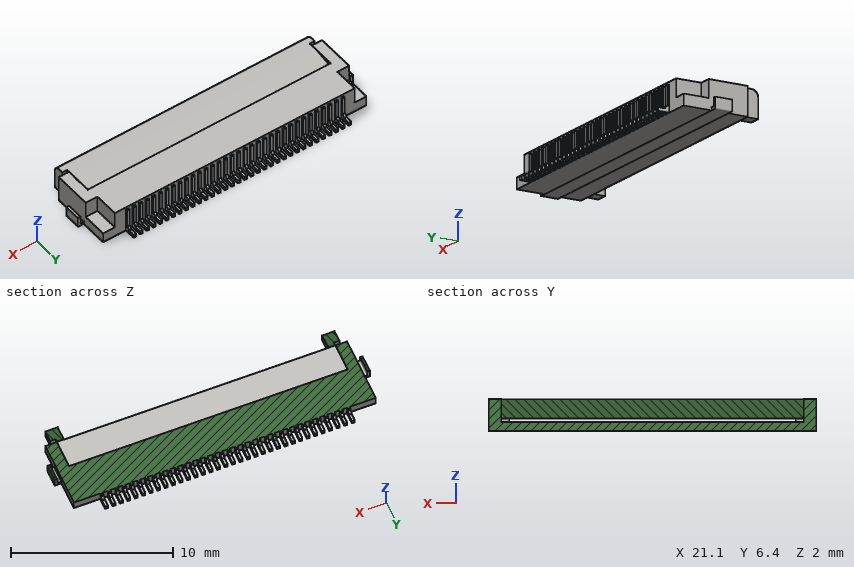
import cadquery as cq


height = 2.0
housing_width = 20.2
housing_depth = 4.6
pocket_width = 18.62
pocket_depth = 1.95
floor_height = 0.57
notch_width = 0.9
notch_depth = 1.8
notch_bottom = 0.77

contact_count = 34
contact_pitch = 0.5
contact_width = 0.2
contact_top = 1.8
contact_thickness = 0.12
contact_foot_height = 0.25
contact_bend_radius = 0.18
contact_reach = 0.8

slider_width = 19.36
slider_bottom = 0.12
slider_front = -1.0
slider_gap = 0.2
slider_edge_radius = 0.5
opening_width = 17.65
opening_top = 0.77
slope_start = 0.45
slope_drop = 0.27

strap_span = 21.1
strap_thickness = 0.2
strap_length = 1.2
strap_middle_y = 2.0
strap_top = 0.77
strap_corner_radius = 0.05


def box(width, y_range, z_range, x_middle=0):
    """Block with the given X width, standing between two Y and two Z values."""
    y_start, y_end = y_range
    z_start, z_end = z_range
    return (
        cq.Workplane("XY")
        .box(width, y_end - y_start, z_end - z_start, centered=(True, False, False))
        .translate((x_middle, y_start, z_start))
    )


def extruded_along_x(side_outline, width, x_middle=0):
    """Extrude a closed (Y, Z) outline along X, centred on x_middle."""
    return side_outline.extrude(width / 2, both=True).translate((x_middle, 0, 0))


def make_strap():
    """Flat strip that crosses the underside of the housing, with both ends turned up."""
    outside = strap_span / 2
    inside = outside - strap_thickness
    return (
        cq.Workplane("XZ")
        .moveTo(-outside, 0)
        .lineTo(outside, 0)
        .lineTo(outside, strap_top)
        .lineTo(inside, strap_top)
        .lineTo(inside, strap_thickness)
        .lineTo(-inside, strap_thickness)
        .lineTo(-inside, strap_top)
        .lineTo(-outside, strap_top)
        .close()
        .extrude(strap_length / 2, both=True)
        .translate((0, strap_middle_y, 0))
        .edges("|Y and (not >Z)")
        .fillet(strap_corner_radius)
    )


def make_contact(x_middle):
    """L-shaped solder tail: upright on the back face, rounded bend, flat foot."""
    upright_back = housing_depth + contact_thickness
    bend_end = upright_back + contact_bend_radius
    bend_top = contact_foot_height + contact_bend_radius
    foot_end = housing_depth + contact_reach
    outline = (
        cq.Workplane("YZ")
        .moveTo(housing_depth, 0)
        .lineTo(foot_end, 0)
        .lineTo(foot_end, contact_foot_height)
        .lineTo(bend_end, contact_foot_height)
        .radiusArc((upright_back, bend_top), -contact_bend_radius)
        .lineTo(upright_back, contact_top)
        .lineTo(housing_depth, contact_top)
        .close()
    )
    return extruded_along_x(outline, contact_width, x_middle)


def make_housing(strap):
    """Housing body with its row of contacts and a channel that fits the strap."""
    body = box(housing_width, (0, housing_depth), (0, height))

    body = body.cut(box(pocket_width, (0, pocket_depth), (floor_height, height)))

    notch_x = (housing_width - notch_width) / 2
    for side in (-1, 1):
        notch = box(
            notch_width,
            (housing_depth - notch_depth, housing_depth),
            (notch_bottom, height),
            side * notch_x,
        )
        body = body.cut(notch)

    body = body.cut(strap)

    first_contact_x = -(contact_count - 1) * contact_pitch / 2
    for index in range(contact_count):
        body = body.union(make_contact(first_contact_x + index * contact_pitch))
    return body


def make_slider():
    """Front bar with a cable opening, and a sloped tongue that fills the top of the pocket."""
    bar = box(slider_width, (slider_front, -slider_gap), (slider_bottom, height))
    bar = bar.edges("|X and >Z and <Y").fillet(slider_edge_radius)
    neck = box(pocket_width, (-slider_gap, 0), (slider_bottom, height))
    opening = box(opening_width, (slider_front, 0), (slider_bottom, opening_top))
    bar = bar.union(neck).cut(opening)

    tongue_outline = (
        cq.Workplane("YZ")
        .moveTo(0, opening_top)
        .lineTo(pocket_depth, opening_top)
        .lineTo(pocket_depth, height - slope_drop)
        .lineTo(slope_start, height)
        .lineTo(0, height)
        .close()
    )
    return bar.union(extruded_along_x(tongue_outline, pocket_width))


strap = make_strap()
housing = make_housing(strap)
slider = make_slider()

result = cq.Compound.makeCompound([housing.val(), slider.val(), strap.val()])